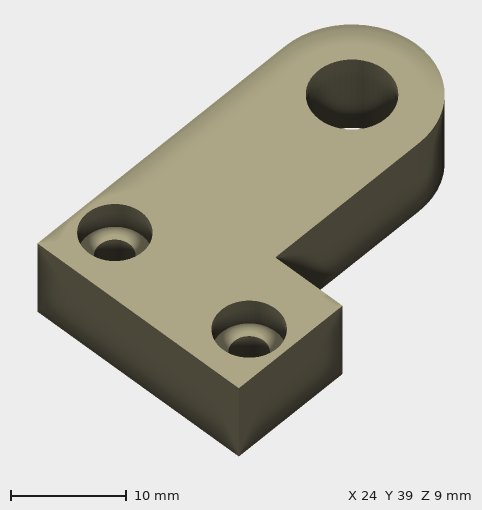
import cadquery as cq

length = 39.0
width = 24.0
thickness = 9.0

arm_width = 16.0
end_radius = arm_width / 2
foot_length = 13.0
pivot_y = length - end_radius
pivot_diameter = 8.0

screw_spacing = 16.0
screw_y = 5.5
screw_diameter = 3.6
counterbore_diameter = 6.5
counterbore_depth = 3.0


def make_plate():
    """L-shaped plate with its lower left corner at the origin."""
    return (
        cq.Workplane("XY")
        .lineTo(width, 0)
        .lineTo(width, foot_length)
        .lineTo(arm_width, foot_length)
        .lineTo(arm_width, pivot_y)
        .threePointArc((end_radius, length), (0, pivot_y))
        .close()
        .extrude(thickness)
    )


def cut_pivot_hole(body):
    """Through hole concentric with the rounded end."""
    hole = cq.Workplane("XY").center(end_radius, pivot_y).circle(pivot_diameter / 2)
    return body.cut(hole.extrude(thickness))


def cut_screw_holes(body):
    """Two through holes counterbored from the top face."""
    first_x = (width - screw_spacing) / 2
    return (
        body.faces(">Z")
        .workplane(origin=(0, 0, thickness))
        .pushPoints([(first_x, screw_y), (first_x + screw_spacing, screw_y)])
        .cboreHole(screw_diameter, counterbore_diameter, counterbore_depth)
    )


result = cut_screw_holes(cut_pivot_hole(make_plate()))